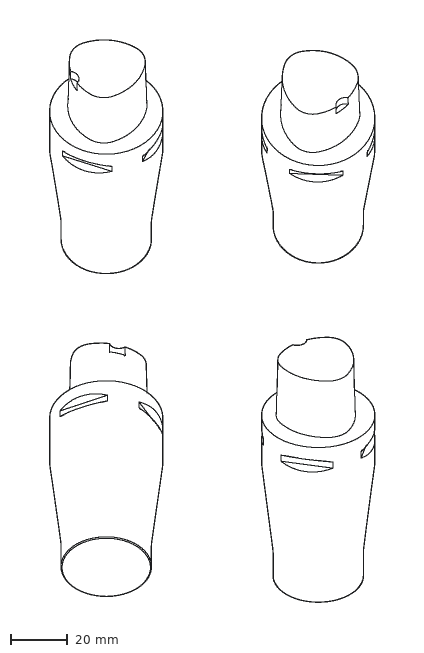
import cadquery as cq
import math

total_height = 94.0
shank_height = 24.0
shoulder_z = total_height - shank_height
flange_bottom_z = 49.3
neck_top_z = 10.15
blend_height = 2.8

flange_radius = 40.0 / 2
neck_radius = 32.0 / 2
bottom_chamfer = 0.4
cone_angle = math.radians(6)

lobe_center_distance = 6.4
lobe_base_radius = 8.5
shank_taper = 0.6
top_lobe_angle = 90

notch_radius = 3.4
notch_depth = 4.0
notch_center_y = -14.1

groove_center_z = 61.9
groove_floor_distance = 17.7
groove_floor_height = 2.6
groove_wall_angle = math.radians(30)
first_groove_angle = 45
groove_count = 4


def polar(radius, degrees):
    angle = math.radians(degrees)
    return cq.Vector(radius * math.cos(angle), radius * math.sin(angle))


def make_body():
    """Revolve the neck, the blend arc, the cone and the flange."""
    blend_radius = blend_height / math.sin(cone_angle)

    def blend_point(angle):
        return (
            neck_radius + blend_radius * (1 - math.cos(angle)),
            neck_top_z + blend_radius * math.sin(angle),
        )

    return (
        cq.Workplane("XZ")
        .lineTo(neck_radius - bottom_chamfer, 0)
        .lineTo(neck_radius, bottom_chamfer)
        .lineTo(neck_radius, neck_top_z)
        .threePointArc(blend_point(cone_angle / 2), blend_point(cone_angle))
        .lineTo(flange_radius, flange_bottom_z)
        .lineTo(flange_radius, shoulder_z)
        .lineTo(0, shoulder_z)
        .close()
        .revolve(360, (0, 0), (0, 1))
    )


def lobed_wire(lobe_radius, z):
    """Closed outline of six tangent arcs, each spanning 60 degrees."""
    side_radius = lobe_radius + math.sqrt(3) * lobe_center_distance
    lift = cq.Vector(0, 0, z)
    edges = []
    for i in range(6):
        direction = top_lobe_angle + 60 * i
        if i % 2 == 0:
            center = polar(lobe_center_distance, direction)
            radius = lobe_radius
        else:
            center = polar(lobe_center_distance, direction + 180)
            radius = side_radius
        start, middle, end = [center + polar(radius, direction + turn) + lift for turn in (-30, 0, 30)]
        edges.append(cq.Edge.makeThreePointArc(start, middle, end))
    return cq.Wire.assembleEdges(edges)


def make_shank():
    base = lobed_wire(lobe_base_radius, shoulder_z)
    top = lobed_wire(lobe_base_radius - shank_taper, total_height)
    return cq.Workplane(cq.Solid.makeLoft([base, top], True))


def make_notch():
    return (
        cq.Workplane("XY", origin=(0, notch_center_y, total_height))
        .circle(notch_radius)
        .extrude(-notch_depth)
    )


def make_groove(angle):
    """Straight groove whose walls open outward from a flat floor."""
    depth = flange_radius - groove_floor_distance
    half_floor = groove_floor_height / 2
    half_mouth = half_floor + depth * math.tan(groove_wall_angle)
    return (
        cq.Workplane("XZ", origin=(0, 0, groove_center_z))
        .polyline([
            (groove_floor_distance, -half_floor),
            (flange_radius, -half_mouth),
            (flange_radius, half_mouth),
            (groove_floor_distance, half_floor),
        ])
        .close()
        .extrude(flange_radius, both=True)
        .rotate((0, 0, 0), (0, 0, 1), angle)
    )


result = make_body().union(make_shank()).cut(make_notch())
for index in range(groove_count):
    result = result.cut(make_groove(first_groove_angle + index * 360 / groove_count))